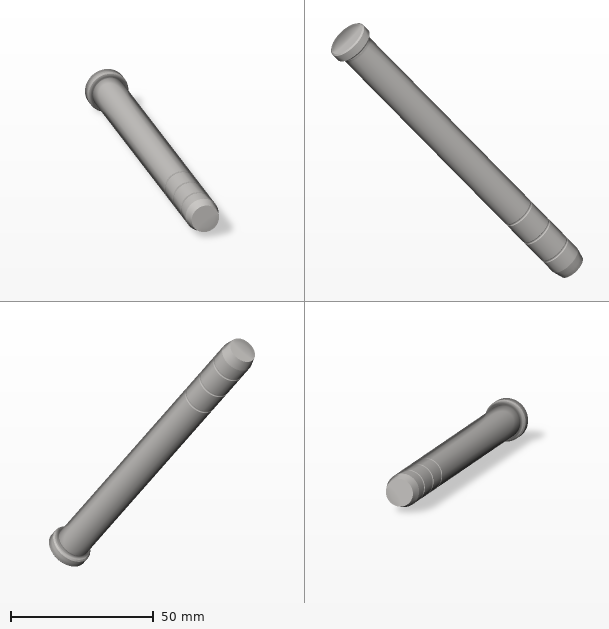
import cadquery as cq

total_length = 125.0
head_diameter = 15.0
head_length = 4.0
head_chamfer = 0.5
shank_diameter = 12.0

tip_length = 4.0
tip_diameter = 10.0

groove_width = 1.0
groove_depth = 0.5
groove_pitch = 10.0
groove_count = 3

head_radius = head_diameter / 2
shank_radius = shank_diameter / 2
tip_radius = tip_diameter / 2
groove_starts = [
    total_length - number * groove_pitch - groove_width / 2
    for number in range(groove_count, 0, -1)
]


def add_groove(outline, start):
    """Add a shallow arc dipping below the shank surface."""
    bottom = (start + groove_width / 2, shank_radius - groove_depth)
    end = (start + groove_width, shank_radius)
    return outline.threePointArc(bottom, end)


outline = (
    cq.Workplane("XY")
    .lineTo(0, head_radius - head_chamfer)
    .lineTo(head_chamfer, head_radius)
    .lineTo(head_length - head_chamfer, head_radius)
    .lineTo(head_length, head_radius - head_chamfer)
    .lineTo(head_length, shank_radius)
)
outline = add_groove(outline, head_length)
for groove_start in groove_starts:
    outline = outline.lineTo(groove_start, shank_radius)
    outline = add_groove(outline, groove_start)
outline = (
    outline.lineTo(total_length - tip_length, shank_radius)
    .lineTo(total_length, tip_radius)
    .lineTo(total_length, 0)
    .close()
)

result = outline.revolve(360, (0, 0, 0), (1, 0, 0))